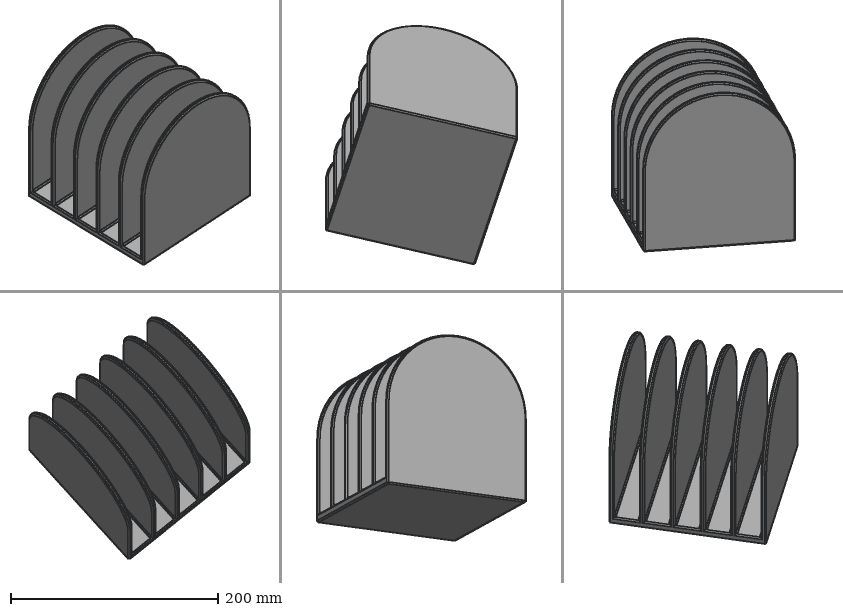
import cadquery as cq

height = 158.0
width = 155.0
depth = 150.0
base_thickness = 8.0
divider_thickness = 5.0
divider_count = 6
chamfer_size = 1.5

arch_radius = depth / 2
spring_height = height - arch_radius
divider_pitch = (width - divider_thickness) / (divider_count - 1)
first_divider_x = (divider_thickness - width) / 2


def base_plate():
    return cq.Workplane("XY").box(width, depth, base_thickness, centered=(True, True, False))


def divider(center_x):
    """Upright plate with a semicircular top, its faces square to X."""
    return (
        cq.Workplane("YZ", origin=(center_x - divider_thickness / 2, 0, 0))
        .moveTo(-arch_radius, 0)
        .lineTo(arch_radius, 0)
        .lineTo(arch_radius, spring_height)
        .threePointArc((0, height), (-arch_radius, spring_height))
        .close()
        .extrude(divider_thickness)
    )


def inner_corners():
    """Selector for the edges along Y where the divider faces meet the slot floors."""
    half_span = (width - divider_thickness) / 2
    floor_band = cq.selectors.BoxSelector(
        (-half_span, -depth / 2, base_thickness - chamfer_size),
        (half_span, depth / 2, base_thickness + chamfer_size),
    )
    return floor_band & cq.selectors.ParallelDirSelector(cq.Vector(0, 1, 0))


body = base_plate()
for index in range(divider_count):
    body = body.union(divider(first_divider_x + index * divider_pitch))
body = body.clean()

corner_selector = inner_corners()
body = body.edges(-corner_selector).chamfer(chamfer_size)
result = body.edges(corner_selector).chamfer(chamfer_size)